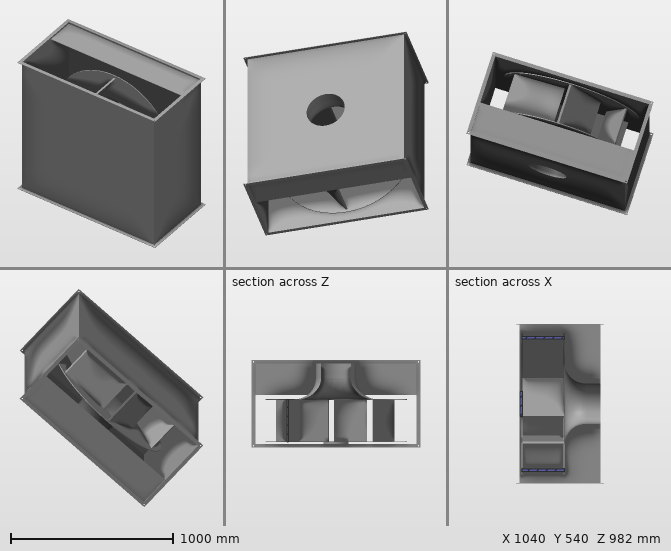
import cadquery as cq
import math

flange_length = 1040.0
flange_depth = 540.0
height = 982.0
flange_overhang = 21.0
flange_thickness = 3.0
sheet = 2.0
casing_length = flange_length - 2 * flange_overhang
casing_depth = flange_depth - 2 * flange_overhang
wall_inside_front = sheet - casing_depth / 2
casing_back = casing_depth / 2
flange_hole_diameter = 8.0
flange_hole_inset = 11.0

shelf_front = 55.0
shelf_thickness = 3.0
shelf_inset = 12.0

wheel_radius = 437.0
plate_thickness = 5.0
back_plate_front = -237.0
shroud_front = 23.0
hub_radius = 78.0

flare_radius = 130.0
throat_radius = 125.0
mouth_radius = throat_radius + flare_radius
inlet_sheet = 3.0
flare_center_y = shroud_front + plate_thickness + flare_radius

blade_count = 6
blade_tip_radius = 418.0
blade_tip_width = 14.0
blade_root_x = -190.0
blade_root_z = 158.0


def frame(length, depth, wall, tall):
    """Rectangular tube standing on the XY plane."""
    outer = cq.Workplane("XY").box(length, depth, tall, centered=(True, True, False))
    inner = cq.Workplane("XY").box(length - 2 * wall, depth - 2 * wall, tall, centered=(True, True, False))
    return outer.cut(inner)


def disc(radius, y_start, thickness):
    """Disc about the Y axis, growing toward +Y from y_start."""
    return cq.Workplane("XZ", origin=(0, y_start, 0)).circle(radius).extrude(-thickness)


def make_flange():
    return (
        frame(flange_length, flange_depth, flange_overhang + sheet, flange_thickness)
        .faces(">Z")
        .workplane()
        .rect(flange_length - 2 * flange_hole_inset, flange_depth - 2 * flange_hole_inset, forConstruction=True)
        .vertices()
        .hole(flange_hole_diameter)
    )


def make_casing():
    casing = frame(casing_length, casing_depth, sheet, height).translate((0, 0, -height / 2))
    for flange_bottom in (-height / 2, height / 2 - flange_thickness):
        casing = casing.union(make_flange().translate((0, 0, flange_bottom)))
    return casing


def make_shelves():
    depth = casing_back - shelf_front
    top_shelf = (
        cq.Workplane("XY")
        .box(casing_length, depth, shelf_thickness, centered=(True, False, False))
        .translate((0, shelf_front, height / 2 - shelf_inset - shelf_thickness))
    )
    return top_shelf.union(top_shelf.mirror("XY"))


def make_inlet():
    inner_flare_radius = flare_radius + inlet_sheet
    bore_radius = throat_radius - inlet_sheet
    diagonal = math.sqrt(0.5)
    outer_middle = (mouth_radius - diagonal * flare_radius, flare_center_y - diagonal * flare_radius)
    inner_middle = (
        mouth_radius - diagonal * inner_flare_radius,
        flare_center_y - diagonal * inner_flare_radius,
    )
    return (
        cq.Workplane("XY")
        .moveTo(mouth_radius, flare_center_y - flare_radius)
        .threePointArc(outer_middle, (throat_radius, flare_center_y))
        .lineTo(throat_radius, casing_back)
        .lineTo(bore_radius, casing_back)
        .lineTo(bore_radius, flare_center_y)
        .threePointArc(inner_middle, (mouth_radius, flare_center_y - inner_flare_radius))
        .close()
        .revolve(360, (0, 0, 0), (0, 1, 0))
    )


def make_blade():
    blade_start = back_plate_front
    blade_length = shroud_front + plate_thickness - blade_start
    tip_angle = blade_tip_width / blade_tip_radius
    tip_end_x = blade_tip_radius * math.sin(tip_angle)
    tip_end_z = blade_tip_radius * math.cos(tip_angle)
    tip_drop = blade_tip_radius - tip_end_z
    return (
        cq.Workplane("XZ", origin=(0, blade_start, 0))
        .moveTo(0, blade_tip_radius)
        .lineTo(tip_end_x, tip_end_z)
        .lineTo(blade_root_x + tip_end_x, blade_root_z - tip_drop)
        .lineTo(blade_root_x, blade_root_z)
        .close()
        .extrude(-blade_length)
    )


def make_wheel():
    shroud = disc(wheel_radius, shroud_front, plate_thickness)
    shroud = shroud.cut(disc(mouth_radius, shroud_front, plate_thickness))
    wheel = shroud.union(disc(wheel_radius, back_plate_front, plate_thickness))
    wheel = wheel.union(disc(hub_radius, wall_inside_front, back_plate_front - wall_inside_front))
    blade = make_blade()
    for index in range(blade_count):
        angle = index * 360 / blade_count
        wheel = wheel.union(blade.rotate((0, 0, 0), (0, 1, 0), angle))
    return wheel


inlet_opening = disc(throat_radius - inlet_sheet, casing_back - sheet, sheet)
result = make_casing().cut(inlet_opening).union(make_shelves()).union(make_inlet()).union(make_wheel())